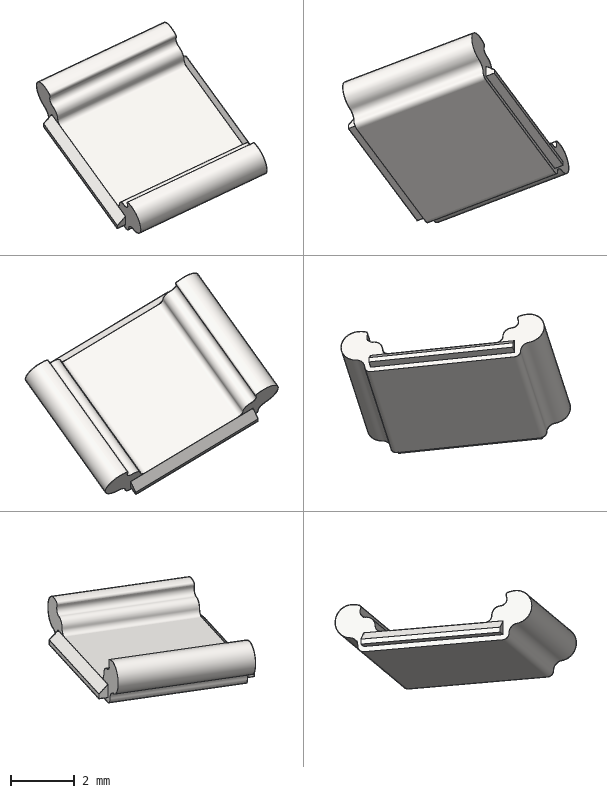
import cadquery as cq
import math

length_x = 6.5
height = 1.57
body_depth = 4.6

plate_top = 0.62
lobe_radius = 0.54
lobe_x = -length_x / 2 + lobe_radius
lobe_z = height - lobe_radius

small_radius = 0.2
large_radius = 0.3
plate_edge_x = -1.72
shoulder_end_x = plate_edge_x - small_radius
shoulder_end_z = plate_top + small_radius
shoulder_start_x = shoulder_end_x - large_radius
shoulder_start_z = shoulder_end_z + large_radius
groove_z = shoulder_start_z + small_radius
groove_end_angle = 164.0

lip_start = (-2.46, 1.535)
lip_x = -2.4
lip_corner_z = 1.44

bottom_wall_x = -2.495
neck_x = bottom_wall_x - large_radius
center_distance = lobe_radius + large_radius
neck_z = lobe_z - math.sqrt(center_distance**2 - (neck_x - lobe_x) ** 2)
corner_radius = neck_z
neck_angle = math.degrees(math.atan2(lobe_z - neck_z, lobe_x - neck_x))

tab_length = 4.6
tab_reach = 0.3
tab_bottom = 0.17
tab_tip_top = 0.33


def on_circle(x, z, radius, angle):
    """Point on a circle in the XZ plane, angle in degrees from +X."""
    a = math.radians(angle)
    return (x + radius * math.cos(a), z + radius * math.sin(a))


def make_half_body():
    """Extruded left half of the scroll-edged plate."""
    groove_end = on_circle(shoulder_start_x, groove_z, small_radius, groove_end_angle)
    groove_mid = on_circle(shoulder_start_x, groove_z, small_radius, (groove_end_angle + 270) / 2)
    shoulder_mid = on_circle(shoulder_start_x, shoulder_end_z, large_radius, 45)
    fillet_mid = on_circle(plate_edge_x, shoulder_end_z, small_radius, 225)
    neck_mid = on_circle(neck_x, neck_z, large_radius, neck_angle / 2)
    neck_end = on_circle(neck_x, neck_z, large_radius, neck_angle)
    corner_x = bottom_wall_x + corner_radius
    corner_mid = on_circle(corner_x, corner_radius, corner_radius, 225)
    return (
        cq.Workplane("XZ", origin=(0, body_depth / 2, 0))
        .moveTo(0, 0)
        .lineTo(corner_x, 0)
        .threePointArc(corner_mid, (bottom_wall_x, neck_z))
        .threePointArc(neck_mid, neck_end)
        .threePointArc((lobe_x - lobe_radius, lobe_z), (lobe_x, height))
        .tangentArcPoint(lip_start, relative=False)
        .tangentArcPoint((lip_x, lip_corner_z), relative=False)
        .lineTo(*groove_end)
        .threePointArc(groove_mid, (shoulder_start_x, shoulder_start_z))
        .threePointArc(shoulder_mid, (shoulder_end_x, shoulder_end_z))
        .threePointArc(fillet_mid, (plate_edge_x, plate_top))
        .lineTo(0, plate_top)
        .close()
        .extrude(body_depth)
    )


def make_tabs():
    """Both end tabs, as one bar with sloped upper ends running through the plate."""
    root_y = body_depth / 2
    tip_y = root_y + tab_reach
    return (
        cq.Workplane("YZ", origin=(-tab_length / 2, 0, 0))
        .polyline([
            (-tip_y, tab_bottom),
            (tip_y, tab_bottom),
            (tip_y, tab_tip_top),
            (root_y, plate_top),
            (-root_y, plate_top),
            (-tip_y, tab_tip_top),
        ])
        .close()
        .extrude(tab_length)
    )


half_body = make_half_body()
body = half_body.union(half_body.mirror("YZ"))
result = body.union(make_tabs()).clean()